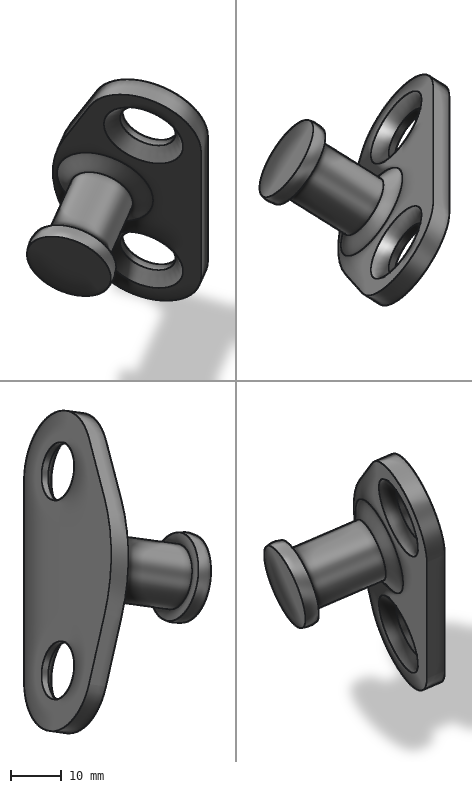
import cadquery as cq
import math

plate_height = 63.95
plate_width = 30.95
plate_thickness = 4.0
end_radius = 12.0
bulge_radius = 30.0
post_to_straight_edge = 20.0

hole_diameter = 11.5
countersink_diameter = 16.5
countersink_angle = 90.0

post_length = 21.0
shaft_diameter = 13.0
flare_diameter = 20.0
flare_length = 2.0
head_diameter = 18.05
head_face_diameter = 17.5
head_length = 3.0

end_center_x = post_to_straight_edge - end_radius
end_center_z = plate_height / 2 - end_radius
bulge_left_x = post_to_straight_edge - plate_width
bulge_center_x = bulge_left_x + bulge_radius


def make_plate():
    """D-shaped plate: straight right edge, round ends and a large arc on the left, joined by tangents."""
    center_dx = bulge_center_x - end_center_x
    center_distance = math.hypot(center_dx, end_center_z)
    center_angle = math.atan2(end_center_z, center_dx)
    tangent_angle = center_angle - math.acos((bulge_radius - end_radius) / center_distance)
    normal_x = -math.cos(tangent_angle)
    normal_z = math.sin(tangent_angle)

    bulge_end_x = bulge_center_x + bulge_radius * normal_x
    bulge_end_z = bulge_radius * normal_z
    cap_end_x = end_center_x + end_radius * normal_x
    cap_end_z = end_center_z + end_radius * normal_z

    plate = (
        cq.Workplane("XZ")
        .moveTo(post_to_straight_edge, -end_center_z)
        .lineTo(post_to_straight_edge, end_center_z)
        .threePointArc((end_center_x, plate_height / 2), (cap_end_x, cap_end_z))
        .lineTo(bulge_end_x, bulge_end_z)
        .threePointArc((bulge_left_x, 0), (bulge_end_x, -bulge_end_z))
        .lineTo(cap_end_x, -cap_end_z)
        .threePointArc((end_center_x, -plate_height / 2), (post_to_straight_edge, -end_center_z))
        .close()
        .extrude(-plate_thickness)
    )
    return (
        plate.faces("<Y")
        .workplane(origin=(0, 0, 0))
        .pushPoints([(end_center_x, end_center_z), (end_center_x, -end_center_z)])
        .cskHole(hole_diameter, countersink_diameter, countersink_angle)
    )


def make_post():
    """Post standing on the plate: conical flare, straight shaft and a head with a barrelled rim."""
    shaft_radius = shaft_diameter / 2
    head_face_radius = head_face_diameter / 2
    head_start_y = head_length - post_length
    head_middle_y = head_length / 2 - post_length
    return (
        cq.Workplane("XY")
        .moveTo(0, 0)
        .lineTo(flare_diameter / 2, 0)
        .lineTo(shaft_radius, -flare_length)
        .lineTo(shaft_radius, head_start_y)
        .lineTo(head_face_radius, head_start_y)
        .threePointArc((head_diameter / 2, head_middle_y), (head_face_radius, -post_length))
        .lineTo(0, -post_length)
        .close()
        .revolve(360, (0, 0, 0), (0, 1, 0))
    )


plate = make_plate()
post = make_post()

result = cq.Compound.makeCompound([plate.val(), post.val()])